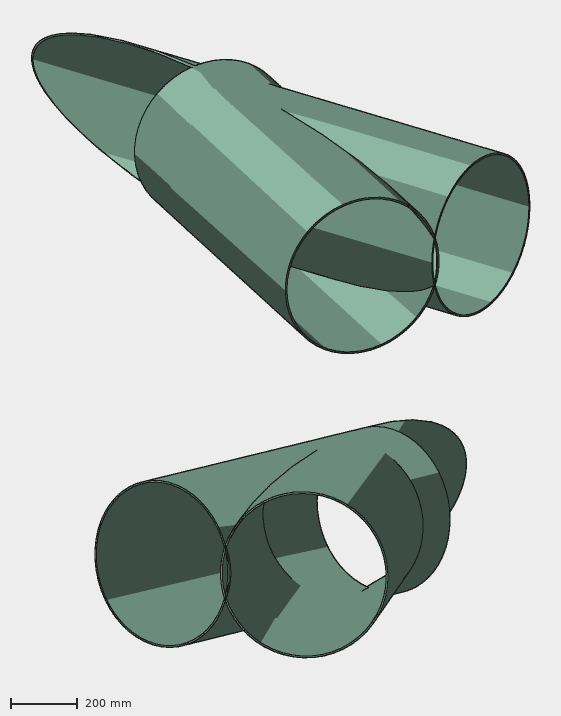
import cadquery as cq
import math

outer_diameter = 507.0
bore_diameter = 496.0
branch_angle = 30.0
arm_length = 890.0
main_tail = 201.0

outer_radius = outer_diameter / 2
mitre_angle = branch_angle / 2
tip_distance = outer_radius / math.tan(math.radians(mitre_angle))
branch_tail = tip_distance + outer_diameter
reach = 2 * branch_tail


def make_rod(diameter, tail):
    """Solid cylinder along X from -tail to arm_length."""
    return (
        cq.Workplane("YZ", origin=(-tail, 0, 0))
        .circle(diameter / 2)
        .extrude(tail + arm_length)
    )


def make_pipe(tail):
    return make_rod(outer_diameter, tail).cut(make_rod(bore_diameter, tail))


def turn(body, angle):
    """Rotate about the Z axis through the crossing."""
    return body.rotate((0, 0, 0), (0, 0, 1), angle)


def make_branch_pipe():
    """Branch whose tail keeps only what lies inside the extended main pipe."""
    quarter_space = cq.Workplane("XY").box(reach, reach, reach).translate((-reach / 2, -reach / 2, 0))
    tail_cutter = turn(quarter_space, mitre_angle).cut(make_rod(outer_diameter, reach))
    return turn(make_pipe(branch_tail), branch_angle).cut(tail_cutter)


def make_main_pipe():
    """Main pipe opened to the branch bore on the +Y side of the mitre plane."""
    upper_half_space = cq.Workplane("XY").box(2 * reach, reach, reach).translate((0, reach / 2, 0))
    branch_bore = turn(make_rod(bore_diameter, branch_tail), branch_angle)
    opening = branch_bore.intersect(turn(upper_half_space, mitre_angle))
    return make_pipe(main_tail).cut(opening)


joined_pipes = make_main_pipe().union(make_branch_pipe(), clean=False)
result = cq.Workplane("XY").newObject([joined_pipes.solids().val()])